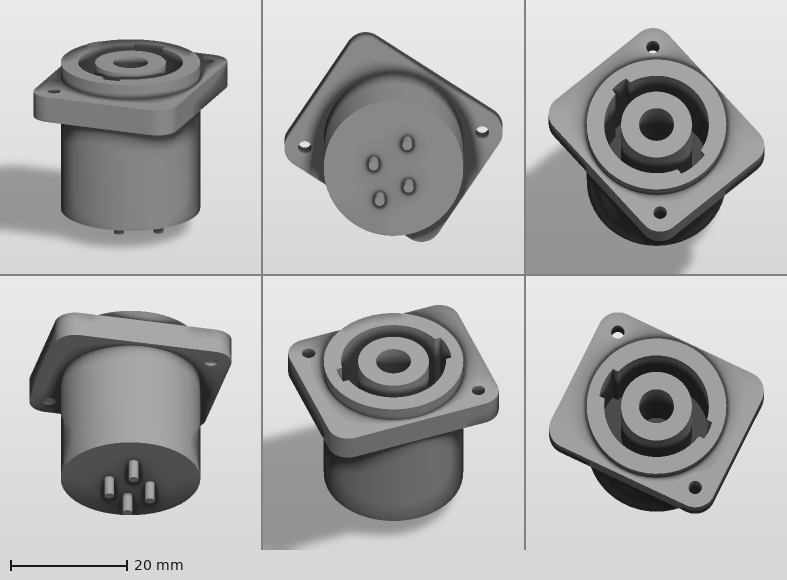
import cadquery as cq

flange_width = 26.0
flange_length = 31.0
flange_thickness = 4.5
flange_corner_radius = 3.5
screw_hole_diameter = 2.3
screw_hole_x = 9.5
screw_hole_y = 12.0

body_diameter = 24.0
body_depth = 19.5
collar_height = 2.5

socket_diameter = 18.0
core_diameter = 12.18
bore_diameter = 6.0
socket_depth = 20.0
keyway_diameter = 20.0
wide_keyway_width = 5.3
narrow_keyway_width = 3.25

pin_diameter = 1.67
pin_length = 3.5
pin_far_x = 5.42
pin_far_y = 3.6
pin_shift = 0.75

body_bottom = -body_depth
collar_top = flange_thickness + collar_height
socket_floor = collar_top - socket_depth
body_height = collar_top - body_bottom

pin_places = [
    (-pin_far_x, pin_shift),
    (pin_far_x, -pin_shift),
    (-pin_shift, pin_far_y),
    (-pin_shift, -pin_far_y),
]


def cylinder(diameter, bottom, height):
    return cq.Workplane("XY").workplane(offset=bottom).circle(diameter / 2).extrude(height)


def make_flange():
    hole_places = [(screw_hole_x, screw_hole_y), (-screw_hole_x, -screw_hole_y)]
    return (
        cq.Workplane("XY")
        .rect(flange_width, flange_length)
        .extrude(flange_thickness)
        .edges("|Z")
        .fillet(flange_corner_radius)
        .faces(">Z")
        .workplane()
        .pushPoints(hole_places)
        .hole(screw_hole_diameter)
    )


def make_keyway(width, side):
    """Slot from the axis to the keyway circle; side is +1 toward +Y, -1 toward -Y."""
    reach = keyway_diameter / 2
    slot = (
        cq.Workplane("XY")
        .workplane(offset=socket_floor)
        .center(0, side * reach / 2)
        .rect(width, reach)
        .extrude(socket_depth)
    )
    return slot.intersect(cylinder(keyway_diameter, socket_floor, socket_depth))


def make_socket():
    """Space removed from the body: keyed ring around the post, plus the bore in the post."""
    ring = (
        cylinder(socket_diameter, socket_floor, socket_depth)
        .union(make_keyway(wide_keyway_width, 1))
        .union(make_keyway(narrow_keyway_width, -1))
        .cut(cylinder(core_diameter, socket_floor, socket_depth))
    )
    return ring.union(cylinder(bore_diameter, socket_floor, socket_depth))


def make_pins():
    return (
        cq.Workplane("XY")
        .workplane(offset=body_bottom)
        .pushPoints(pin_places)
        .circle(pin_diameter / 2)
        .extrude(-pin_length)
    )


body = cylinder(body_diameter, body_bottom, body_height)
result = make_flange().union(body).cut(make_socket()).union(make_pins())